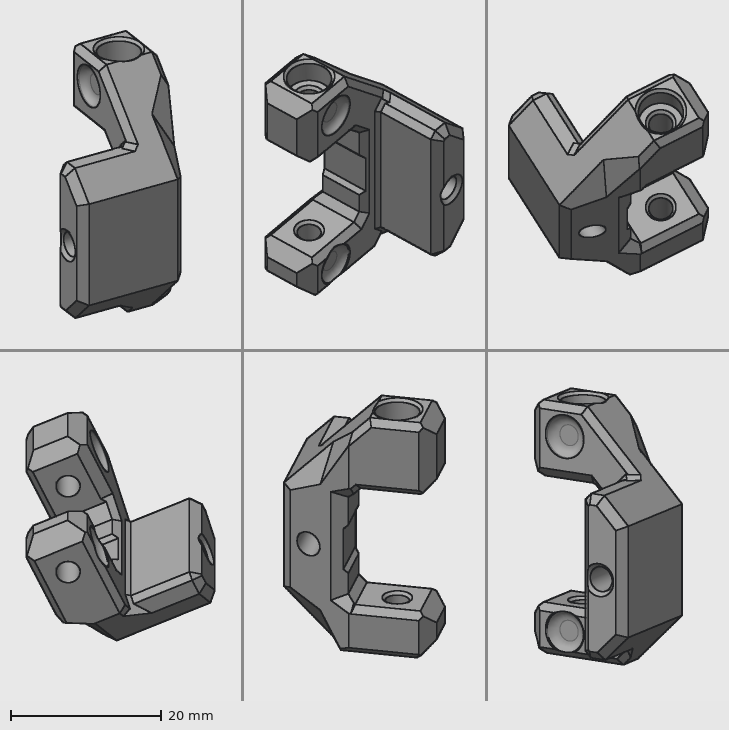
import cadquery as cq
import math

LENGTH_X = 21.45
HEIGHT = 34.85
THICKNESS = 9.0
FLANGE_REACH = 10.35
ROOT_2 = math.sqrt(2)
TOOL_SIZE = 3 * HEIGHT

RIGHT_FACE_TOP = 22.3
RIGHT_FACE_BOTTOM = 6.97
TOP_SLOPE_SUM = LENGTH_X + RIGHT_FACE_TOP
BOTTOM_SLOPE_GAP = LENGTH_X - RIGHT_FACE_BOTTOM
MIDDLE_Z = (RIGHT_FACE_TOP + RIGHT_FACE_BOTTOM) / 2

POCKET_WALL_X = 12.03
POCKET_TOP = 24.25
POCKET_BOTTOM = 6.97
POCKET_TOP_CORNER = 1.85
POCKET_BOTTOM_CORNER = 1.1
RECESS_DEPTH = 0.63
RECESS_TOP = 18.3
RECESS_BOTTOM = 11.12

EDGE_CHAMFER = 0.98
UPPER_ARM_CHAMFER = 1.45
END_CHAMFER = 2.0
LOWER_END_CHAMFER = 2.5

SLANT_START_X = 11.55
SLANT_ANGLE = math.radians(20.4)
BACK_CHAMFER_START_Y = 4.6
CORNER_CUT_SUM = 63.03
RELIEF_DEPTH = 1.75
RELIEF_SLOPE = 0.32
RELIEF_END_LEAN = 1.2

FLANGE_X = 14.7
FLANGE_TOP = 26.05
FLANGE_BOTTOM = 3.38
FLANGE_TOP_CORNER = 0.95
FLANGE_BOTTOM_CORNER = 0.87
FLANGE_EMBED = 2.8
TIP_CHAMFER = 1.22
ROOT_CHAMFER = 0.55

SCREW_X = 5.93
SCREW_Y = 4.65
SCREW_DIAMETER = 3.2
SCREW_CHAMFER = 0.42
HEAD_DIAMETER = 6.0
HEAD_DEPTH = 3.5

DIMPLE_X = 5.9
DIMPLE_HEIGHTS = (3.55, 30.5)
DIMPLE_DIAMETER = 6.0
DIMPLE_BOWL_DIAMETER = 5.7
DIMPLE_FLOOR_DIAMETER = 2.85
DIMPLE_DEPTH = 1.05

FLANGE_HOLE_X = 17.6
FLANGE_HOLE_DIAMETER = 3.4
FLANGE_SINK_DIAMETER = 4.53

OUTER_OUTLINE = [
    (0, HEIGHT),
    (TOP_SLOPE_SUM - HEIGHT, HEIGHT),
    (LENGTH_X, RIGHT_FACE_TOP),
    (LENGTH_X, RIGHT_FACE_BOTTOM),
    (BOTTOM_SLOPE_GAP, 0),
    (0, 0),
]
POCKET_OUTLINE = [
    (0, POCKET_BOTTOM),
    (POCKET_WALL_X - POCKET_BOTTOM_CORNER, POCKET_BOTTOM),
    (POCKET_WALL_X, POCKET_BOTTOM + POCKET_BOTTOM_CORNER),
    (POCKET_WALL_X, POCKET_TOP - POCKET_TOP_CORNER),
    (POCKET_WALL_X - POCKET_TOP_CORNER, POCKET_TOP),
    (0, POCKET_TOP),
]
RECESS_OUTLINE = [
    (POCKET_WALL_X, RECESS_TOP),
    (POCKET_WALL_X + RECESS_DEPTH, RECESS_TOP - RECESS_DEPTH),
    (POCKET_WALL_X + RECESS_DEPTH, RECESS_BOTTOM + RECESS_DEPTH),
    (POCKET_WALL_X, RECESS_BOTTOM),
]
FLANGE_OUTLINE = [
    (FLANGE_X, FLANGE_BOTTOM + FLANGE_BOTTOM_CORNER),
    (FLANGE_X, FLANGE_TOP - FLANGE_TOP_CORNER),
    (FLANGE_X + FLANGE_TOP_CORNER, FLANGE_TOP),
    (TOP_SLOPE_SUM - FLANGE_TOP, FLANGE_TOP),
    (LENGTH_X, RIGHT_FACE_TOP),
    (LENGTH_X, RIGHT_FACE_BOTTOM),
    (BOTTOM_SLOPE_GAP + FLANGE_BOTTOM, FLANGE_BOTTOM),
    (FLANGE_X + FLANGE_BOTTOM_CORNER, FLANGE_BOTTOM),
]


def plate(outline, y_front, y_back):
    """Prism with an XZ outline between two Y positions."""
    plane = cq.Workplane("XZ", origin=(0, y_back, 0))
    return plane.polyline(outline).close().extrude(y_back - y_front)


def slab(z_low, z_high):
    """Everything between two heights."""
    block = cq.Workplane("XY").box(TOOL_SIZE, TOOL_SIZE, z_high - z_low, centered=(True, True, False))
    return block.translate((0, 0, z_low))


def beyond_plane(point, normal):
    """Block filling the side of a plane that its normal points to."""
    plane = cq.Plane(origin=point, normal=normal)
    return cq.Workplane(plane).rect(TOOL_SIZE, TOOL_SIZE).extrude(TOOL_SIZE)


def cylinder(diameter, length, start, direction):
    return cq.Workplane(cq.Solid.makeCylinder(diameter / 2, length, start, direction))


def countersink(diameter, depth, start, direction):
    """45 degree cone that narrows to the given diameter over its depth."""
    return cq.Workplane(cq.Solid.makeCone(diameter / 2 + depth, diameter / 2, depth, start, direction))


def clamp_body():
    body = plate(OUTER_OUTLINE + POCKET_OUTLINE, 0, THICKNESS)
    body = body.faces("<Y or >Y").edges("not <X").chamfer(EDGE_CHAMFER)
    return body.cut(plate(RECESS_OUTLINE, 0, THICKNESS))


def upper_arm_chamfer():
    """Larger chamfer under the upper arm, stopping at the chamfer of the pocket's corner."""
    corner_sum = POCKET_WALL_X + POCKET_TOP - POCKET_TOP_CORNER + ROOT_2 * EDGE_CHAMFER
    wedge = beyond_plane((0, 0, POCKET_TOP + UPPER_ARM_CHAMFER), (0, -1, -1))
    wedge = wedge.intersect(beyond_plane((corner_sum, 0, 0), (-1, -ROOT_2, -1)))
    return wedge.intersect(slab(POCKET_TOP, HEIGHT))


def arm_end_chamfer(z_low, z_high, low_chamfer):
    """The four wedges that bevel the end of one arm."""
    wedges = beyond_plane((0, 0, z_low + low_chamfer), (-1, 0, -1))
    wedges = wedges.union(beyond_plane((0, 0, z_high - END_CHAMFER), (-1, 0, 1)))
    wedges = wedges.union(beyond_plane((0, END_CHAMFER, 0), (-1, -1, 0)))
    wedges = wedges.union(beyond_plane((0, THICKNESS - END_CHAMFER, 0), (-1, 1, 0)))
    near_end = beyond_plane((2 * END_CHAMFER, 0, 0), (-1, 0, 0))
    return wedges.intersect(near_end).intersect(slab(z_low, z_high))


def cut_slanted_back(body):
    """Slant the back toward the right face and chamfer the slant's outer edges."""
    slant_normal = (math.sin(SLANT_ANGLE), math.cos(SLANT_ANGLE), 0)
    body = body.cut(beyond_plane((SLANT_START_X, THICKNESS, 0), slant_normal))
    body = body.cut(beyond_plane((LENGTH_X, BACK_CHAMFER_START_Y, 0), (1, 1, 0)))
    slope_chamfer = beyond_plane((LENGTH_X, BACK_CHAMFER_START_Y, RIGHT_FACE_TOP), (1, ROOT_2, 1))
    slope_chamfer = slope_chamfer.intersect(beyond_plane((0, 0, CORNER_CUT_SUM), (2, 1, 1)))
    return body.cut(slope_chamfer).cut(slope_chamfer.mirror("XY", (0, 0, MIDDLE_Z)))


def wall_relief():
    """Shallow bevel between the pocket wall and the slanted back, with leaning ends."""
    edge_y = THICKNESS - RELIEF_DEPTH
    low = POCKET_BOTTOM + POCKET_BOTTOM_CORNER
    high = POCKET_TOP - POCKET_TOP_CORNER
    wedge = beyond_plane((POCKET_WALL_X, edge_y, 0), (-RELIEF_SLOPE, 1, 0))
    wedge = wedge.intersect(slab(0, HEIGHT))
    wedge = wedge.cut(beyond_plane((0, edge_y, high), (0, -RELIEF_END_LEAN, 1)))
    return wedge.cut(beyond_plane((0, edge_y, low), (0, -RELIEF_END_LEAN, -1)))


def flange():
    return plate(FLANGE_OUTLINE, -FLANGE_REACH, FLANGE_EMBED).faces("<Y").chamfer(TIP_CHAMFER)


def flange_root():
    """Sloped fill where the flange leaves the clamp face, kept inside the clamp's outer slopes."""
    left_x = FLANGE_X - ROOT_CHAMFER
    corner_x = FLANGE_X - ROOT_2 * ROOT_CHAMFER
    crest_z = FLANGE_TOP + ROOT_CHAMFER
    crest_x = TOP_SLOPE_SUM - ROOT_2 * EDGE_CHAMFER - crest_z
    root = plate(OUTER_OUTLINE, -FLANGE_REACH, EDGE_CHAMFER)
    root = root.cut(beyond_plane((left_x, 0, 0), (-1, -1, 0)))
    root = root.cut(beyond_plane((corner_x, 0, FLANGE_BOTTOM + FLANGE_BOTTOM_CORNER), (-1, -ROOT_2, -1)))
    root = root.cut(beyond_plane((corner_x, 0, FLANGE_TOP - FLANGE_TOP_CORNER), (-1, -ROOT_2, 1)))
    return root.cut(beyond_plane((crest_x, 0, crest_z), (1, -ROOT_2, 3)))


def screw_hole():
    """Through hole with a counterbore for the head, chamfered at each visible mouth."""
    up = (0, 0, 1)
    down = (0, 0, -1)
    seat_z = HEIGHT - HEAD_DEPTH
    hole = cylinder(SCREW_DIAMETER, HEIGHT, (SCREW_X, SCREW_Y, 0), up)
    hole = hole.union(cylinder(HEAD_DIAMETER, HEAD_DEPTH, (SCREW_X, SCREW_Y, seat_z), up))
    mouths = ((HEIGHT, HEAD_DIAMETER), (seat_z, SCREW_DIAMETER), (POCKET_BOTTOM, SCREW_DIAMETER))
    for z, diameter in mouths:
        hole = hole.union(countersink(diameter, SCREW_CHAMFER, (SCREW_X, SCREW_Y, z), down))
    return hole


def dimple(z):
    """Bowl with a narrow beveled rim; its curved side runs smoothly into a flat floor."""
    rim_radius = DIMPLE_DIAMETER / 2
    bowl_radius = DIMPLE_BOWL_DIAMETER / 2
    floor_radius = DIMPLE_FLOOR_DIAMETER / 2
    rim_depth = rim_radius - bowl_radius
    profile = (
        cq.Workplane("XY")
        .moveTo(0, 0)
        .lineTo(0, DIMPLE_DEPTH)
        .lineTo(floor_radius, DIMPLE_DEPTH)
        .tangentArcPoint((bowl_radius, rim_depth), relative=False)
        .lineTo(rim_radius, 0)
        .close()
    )
    return profile.revolve(360, (0, 0, 0), (0, 1, 0)).translate((DIMPLE_X, 0, z))


def flange_hole():
    start = (FLANGE_HOLE_X, -FLANGE_REACH, MIDDLE_Z)
    inward = (0, 1, 0)
    sink_depth = (FLANGE_SINK_DIAMETER - FLANGE_HOLE_DIAMETER) / 2
    hole = cylinder(FLANGE_HOLE_DIAMETER, FLANGE_REACH + THICKNESS, start, inward)
    return hole.union(countersink(FLANGE_HOLE_DIAMETER, sink_depth, start, inward))


result = clamp_body().cut(upper_arm_chamfer())
result = result.cut(arm_end_chamfer(POCKET_TOP, HEIGHT, END_CHAMFER))
result = result.cut(arm_end_chamfer(0, POCKET_BOTTOM, LOWER_END_CHAMFER))
result = cut_slanted_back(result).cut(wall_relief())
result = result.union(flange()).union(flange_root())
result = result.cut(screw_hole()).cut(flange_hole())
for dimple_z in DIMPLE_HEIGHTS:
    result = result.cut(dimple(dimple_z))